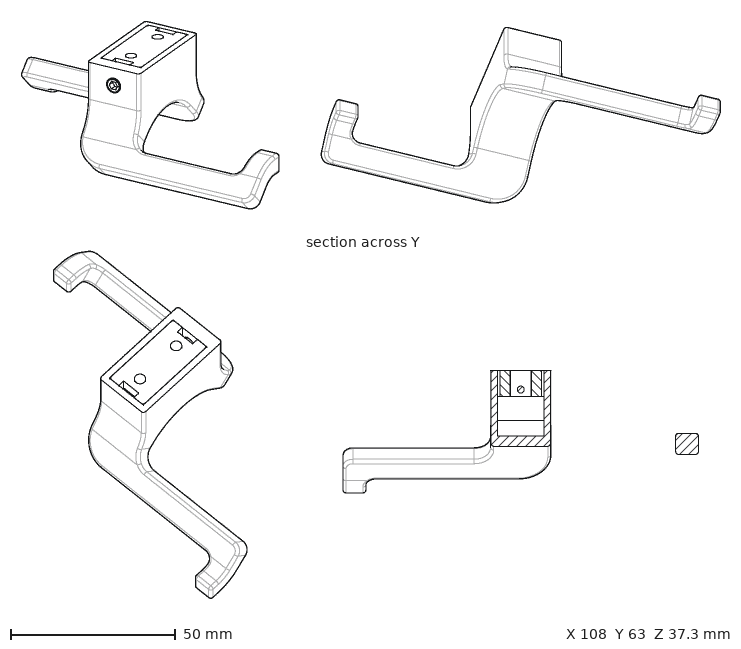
import cadquery as cq
import math

LENGTH = 108.0
EDGE_ROUND = 1.0

BLOCK_WIDTH = 18.4
BLOCK_DEPTH = 35.0
SIDE_HEIGHT = 12.3
FLARE_RADIUS = 15.1
ARCH_RADIUS = 17.8

ARM_THICKNESS = 6.5
ARM_WIDTH = 8.1
SKIRT_REACH = 27.8
HEEL_RADIUS = 9.9
ARMPIT_RADIUS = 5.0
CORNER_RADIUS = 3.0

TIP_WIDTH = 7.0
BEND_RADIUS = 6.3
RAISED_TIP_END = 9.5
RAISED_TIP_TOP = 19.1
DROPPED_TIP_END = 35.6
DROPPED_TIP_BOTTOM = 37.3

CAVITY_WIDTH = 14.0
CAVITY_DEPTH = 28.3
BACK_WALL = 2.2
FLOOR_WALL = 2.4
PLATE_THICKNESS = 8.0
PLATE_CORNER = 1.0
NOTCH_WIDTH = 6.3
NOTCH_DEPTH = 2.2
BACK_NOTCH_HEIGHT = 4.0
PLATE_HOLE_DIAMETER = 3.5
PLATE_HOLE_SPACING = 16.1

SCREW_DIAMETER = 4.8
SCREW_CHAMFER = 0.3
SCREW_DROP = 5.8
POINT_REACH = 1.2
SOCKET_FLATS = 2.5
SOCKET_DEPTH = 2.0
HEX_TURN = 30

SMOOTH_LIMIT = 20

ROOT_HALF = math.sqrt(0.5)
SKIRT_RISE = math.sqrt(2) - 1
HALF_LENGTH = LENGTH / 2
HALF_WIDTH = BLOCK_WIDTH / 2
HALF_DEPTH = BLOCK_DEPTH / 2
SKIRT_DROP = SIDE_HEIGHT + FLARE_RADIUS * SKIRT_RISE - HALF_DEPTH
UNDER_DROP = SKIRT_DROP + ARM_THICKNESS / ROOT_HALF
ARCH_TOP = UNDER_DROP + ARCH_RADIUS * SKIRT_RISE
HALF_THICK_SHIFT = ARM_THICKNESS * ROOT_HALF
OUTER_BEND_RADIUS = BEND_RADIUS + ARM_THICKNESS
CAVITY_BACK = HALF_DEPTH - BACK_WALL
CAVITY_FRONT = CAVITY_BACK - CAVITY_DEPTH
CAVITY_CENTER = (CAVITY_BACK + CAVITY_FRONT) / 2

FAR_EDGE = -SKIRT_REACH / ROOT_HALF
NEAR_EDGE = FAR_EDGE + ARM_WIDTH
TIP_START = HALF_LENGTH - TIP_WIDTH
OVERLAP_START = HALF_LENGTH / 2
BEYOND = LENGTH


def rounded_polygon(plane, corners):
    """Closed outline through (x, y, radius) corners, each rounded by a tangent arc."""
    stretches = []
    for i, (x, y, radius) in enumerate(corners):
        corner = cq.Vector(x, y)
        before = (cq.Vector(*corners[i - 1][:2]) - corner).normalized()
        after = (cq.Vector(*corners[(i + 1) % len(corners)][:2]) - corner).normalized()
        half_angle = before.getAngle(after) / 2
        if radius == 0:
            stretches.append([corner])
            continue
        setback = radius / math.tan(half_angle)
        bisector = (before + after).normalized()
        middle = corner + bisector * (radius / math.sin(half_angle) - radius)
        stretches.append([corner + before * setback, middle, corner + after * setback])
    outline = cq.Workplane(plane).moveTo(*stretches[0][0].toTuple()[:2])
    for i, points in enumerate(stretches):
        flat = [p.toTuple()[:2] for p in points]
        if i > 0:
            outline = outline.lineTo(*flat[0])
        if len(flat) == 3:
            outline = outline.threePointArc(flat[1], flat[2])
    return outline.close()


def side_prism(corners):
    """Prism along X of an outline in (distance forward of the centre, Z)."""
    forward = cq.Plane(origin=(0, 0, 0), xDir=(0, -1, 0), normal=(-1, 0, 0))
    return rounded_polygon(forward, corners).extrude(HALF_LENGTH, both=True)


def skirt_prism(corners):
    """Prism square to the front skirt of an outline in (X, distance up the skirt)."""
    skirt = cq.Plane(origin=(0, 0, -SKIRT_DROP), xDir=(1, 0, 0), normal=(0, -1, 1))
    return rounded_polygon(skirt, corners).extrude(BEYOND, both=True)


SKIRT_END_TOP = (SKIRT_REACH, -SKIRT_DROP - SKIRT_REACH, 0)
SKIRT_END_BOTTOM = (
    SKIRT_REACH - HALF_THICK_SHIFT,
    -SKIRT_DROP - SKIRT_REACH - HALF_THICK_SHIFT,
    0,
)


def block_and_arm(far_radius, near_radius):
    """Front half of the block with its skirt and the arm that leaves it toward +X.

    The radii round the arm's far and near corners at its outer end.
    """
    flare_corner = (HALF_DEPTH, -SKIRT_DROP - HALF_DEPTH, FLARE_RADIUS)
    half = [(HALF_DEPTH, 0, 0), flare_corner, SKIRT_END_TOP, SKIRT_END_BOTTOM]
    mirrored = [(-out, z, radius) for out, z, radius in reversed(half)]
    profile = side_prism(half + [(0, -UNDER_DROP, ARCH_RADIUS)] + mirrored)
    front = cq.Workplane().box(BEYOND, BEYOND, BEYOND).translate((0, -BEYOND / 2, 0))
    outline = skirt_prism([
        (-HALF_WIDTH, BEYOND, 0),
        (-HALF_WIDTH, FAR_EDGE, HEEL_RADIUS),
        (HALF_LENGTH, FAR_EDGE, far_radius),
        (HALF_LENGTH, NEAR_EDGE, near_radius),
        (HALF_WIDTH, NEAR_EDGE, ARMPIT_RADIUS),
        (HALF_WIDTH, BEYOND, 0),
    ])
    return profile.intersect(front).intersect(outline)


def raised_tip():
    """Tip that climbs the front skirt from the arm's end and levels out toward the block."""
    profile = side_prism([
        SKIRT_END_TOP,
        SKIRT_END_BOTTOM,
        (RAISED_TIP_TOP + ARM_THICKNESS - UNDER_DROP, -RAISED_TIP_TOP - ARM_THICKNESS, BEND_RADIUS),
        (RAISED_TIP_END, -RAISED_TIP_TOP - ARM_THICKNESS, 0),
        (RAISED_TIP_END, -RAISED_TIP_TOP, 0),
        (RAISED_TIP_TOP - SKIRT_DROP, -RAISED_TIP_TOP, OUTER_BEND_RADIUS),
    ])
    outline = skirt_prism([
        (OVERLAP_START, NEAR_EDGE, 0),
        (OVERLAP_START, FAR_EDGE, 0),
        (HALF_LENGTH, FAR_EDGE, CORNER_RADIUS),
        (HALF_LENGTH, BEYOND, 0),
        (TIP_START, BEYOND, 0),
        (TIP_START, NEAR_EDGE, CORNER_RADIUS),
    ])
    return profile.intersect(outline)


def dropped_tip():
    """Tip that runs on down the skirt from the arm's end and levels out away from the block."""
    top = DROPPED_TIP_BOTTOM - ARM_THICKNESS
    root_out = -NEAR_EDGE * ROOT_HALF
    profile = side_prism([
        (root_out, -SKIRT_DROP - root_out, 0),
        (root_out - HALF_THICK_SHIFT, -SKIRT_DROP - root_out - HALF_THICK_SHIFT, 0),
        (DROPPED_TIP_BOTTOM - UNDER_DROP, -DROPPED_TIP_BOTTOM, OUTER_BEND_RADIUS),
        (DROPPED_TIP_END, -DROPPED_TIP_BOTTOM, 0),
        (DROPPED_TIP_END, -top, 0),
        (top - SKIRT_DROP, -top, BEND_RADIUS),
    ])
    outline = skirt_prism([
        (OVERLAP_START, FAR_EDGE, 0),
        (TIP_START, FAR_EDGE, CORNER_RADIUS),
        (TIP_START, -BEYOND, 0),
        (HALF_LENGTH, -BEYOND, 0),
        (HALF_LENGTH, NEAR_EDGE, CORNER_RADIUS),
        (OVERLAP_START, NEAR_EDGE, 0),
    ])
    return profile.intersect(outline)


def sharp_edges(solid):
    """Edges below the flat top where the two faces meet at a clear angle."""
    sharp = []
    for edge in solid.Edges():
        middle = edge.positionAt(0.5)
        first, second = edge.ancestors(solid, "Face")
        angle = math.degrees(first.normalAt(middle).getAngle(second.normalAt(middle)))
        if angle > SMOOTH_LIMIT and middle.z < -EDGE_ROUND:
            sharp.append(edge)
    return sharp


def rounded_hook():
    """Block, both arms and both tips as one solid with every edge below the top rounded."""
    front = block_and_arm(CORNER_RADIUS, 0).union(raised_tip())
    rear = block_and_arm(0, CORNER_RADIUS).union(dropped_tip()).rotate((0, 0, 0), (0, 0, 1), 180)
    solid = front.union(rear).clean().val()
    return cq.Workplane(solid.fillet(EDGE_ROUND, sharp_edges(solid)))


def cavity():
    """Pocket open at the top whose floor follows the arch."""
    pocket_height = ARCH_TOP + ARCH_RADIUS
    pocket = (
        cq.Workplane().box(CAVITY_WIDTH, CAVITY_DEPTH, pocket_height, centered=(True, True, False))
        .translate((0, CAVITY_CENTER, -pocket_height))
    )
    floor = (
        cq.Workplane("YZ", origin=(0, 0, -ARCH_TOP - ARCH_RADIUS))
        .circle(ARCH_RADIUS + FLOOR_WALL).extrude(HALF_LENGTH, both=True)
    )
    return pocket.cut(floor)


def make_screw():
    """Set screw flush with the block's front face, its cone point aimed toward +Y."""
    length = CAVITY_FRONT + HALF_DEPTH + POINT_REACH
    radius = SCREW_DIAMETER / 2
    turned = (
        cq.Workplane("XY")
        .polyline([
            (0, 0),
            (radius - SCREW_CHAMFER, 0),
            (radius, SCREW_CHAMFER),
            (radius, length - radius),
            (0, length),
        ])
        .close()
        .revolve(360, (0, 0, 0), (0, 1, 0))
    )
    socket = (
        cq.Workplane("XZ").polygon(6, SOCKET_FLATS, circumscribed=True)
        .extrude(-SOCKET_DEPTH)
        .rotate((0, 0, 0), (0, 1, 0), HEX_TURN)
    )
    return turned.cut(socket).translate((0, -HALF_DEPTH, -SCREW_DROP))


def make_housing():
    """Hook body with the plate cavity and the plain screw hole through its front wall."""
    screw_hole = (
        cq.Workplane("XZ", origin=(0, -HALF_DEPTH, -SCREW_DROP))
        .circle(SCREW_DIAMETER / 2)
        .extrude(-(CAVITY_FRONT + HALF_DEPTH))
    )
    return rounded_hook().cut(cavity()).cut(screw_hole)


def make_plate():
    """Mounting plate with two screw holes, a through notch in front and a blind one behind."""
    plate = (
        cq.Workplane().box(CAVITY_WIDTH, CAVITY_DEPTH, PLATE_THICKNESS)
        .edges("|Z").fillet(PLATE_CORNER)
        .faces(">Z").workplane()
        .rarray(1.1, PLATE_HOLE_SPACING, 1, 2).hole(PLATE_HOLE_DIAMETER)
    )
    notch_center = (CAVITY_DEPTH - NOTCH_DEPTH) / 2
    front_notch = cq.Workplane().box(NOTCH_WIDTH, NOTCH_DEPTH, PLATE_THICKNESS)
    back_notch = cq.Workplane().box(NOTCH_WIDTH, NOTCH_DEPTH, BACK_NOTCH_HEIGHT)
    plate = plate.cut(front_notch.translate((0, -notch_center, 0)))
    plate = plate.cut(
        back_notch.translate((0, notch_center, (PLATE_THICKNESS - BACK_NOTCH_HEIGHT) / 2))
    )
    return plate.translate((0, CAVITY_CENTER, -PLATE_THICKNESS / 2))


housing = make_housing()
plate = make_plate()
screw = make_screw()
result = cq.Compound.makeCompound([housing.val(), plate.val(), screw.val()])